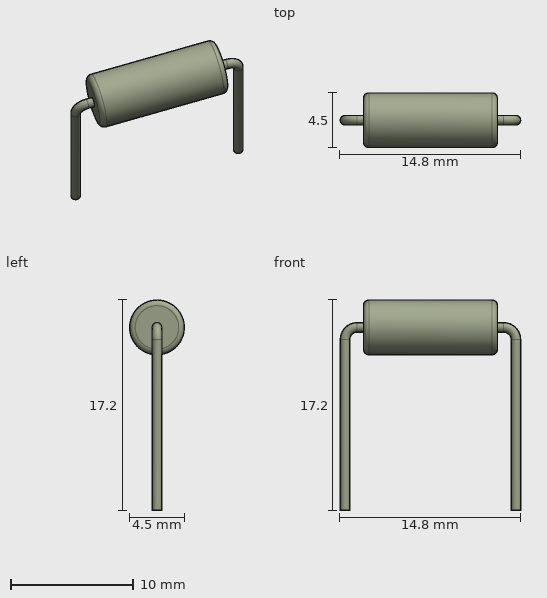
import cadquery as cq

total_height = 17.25
body_length = 11.0
body_diameter = 4.5
body_edge_radius = 0.47
lead_diameter = 0.8
lead_span = 14.8
bend_radius = 1.0

axis_height = total_height - body_diameter / 2
lead_offset = (lead_span - lead_diameter) / 2


def make_body():
    """Cylinder along X with rounded end edges."""
    return (
        cq.Workplane("YZ", origin=(-body_length / 2, 0, axis_height))
        .circle(body_diameter / 2)
        .extrude(body_length)
        .edges("%CIRCLE")
        .fillet(body_edge_radius)
    )


def make_right_lead():
    """Round wire from the body centre out along +X, then bent straight down."""
    path = (
        cq.Workplane("XZ")
        .moveTo(0, axis_height)
        .lineTo(lead_offset - bend_radius, axis_height)
        .tangentArcPoint((lead_offset, axis_height - bend_radius), relative=False)
        .lineTo(lead_offset, 0)
    )
    wire_section = cq.Workplane("YZ", origin=(0, 0, axis_height)).circle(lead_diameter / 2)
    return wire_section.sweep(path)


right_lead = make_right_lead()
left_lead = right_lead.mirror("YZ")
result = make_body().union(right_lead).union(left_lead)